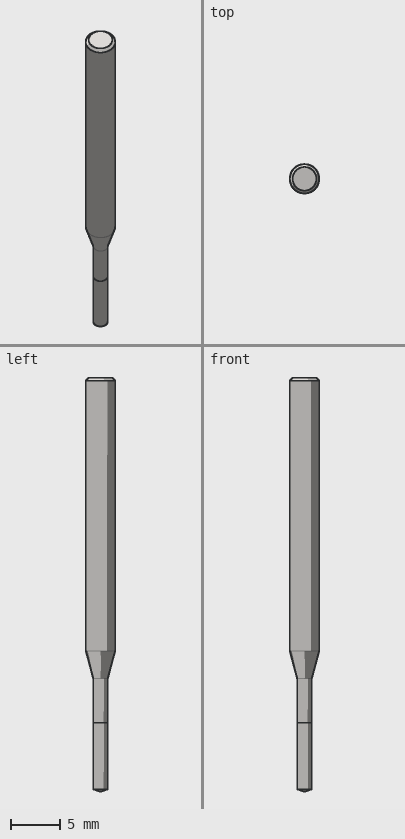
import cadquery as cq
import math

total_length = 42.0

cutter_diameter = 1.5
cutter_length = 7.0
point_angle = 140.0

neck_diameter = cutter_diameter
neck_length = 4.5
taper_half_angle = 15.0
shank_diameter = 3.0
end_chamfer = 0.3

cutter_radius = cutter_diameter / 2
neck_radius = neck_diameter / 2
shank_radius = shank_diameter / 2
point_height = cutter_radius / math.tan(math.radians(point_angle / 2))
taper_length = (shank_radius - neck_radius) / math.tan(math.radians(taper_half_angle))
taper_start = cutter_length + neck_length
grip_start = taper_start + taper_length
chamfer_start = total_length - end_chamfer


def turn(half_profile):
    """Revolve a closed (radius, height) outline around the Z axis."""
    outline = cq.Workplane("XZ").polyline(half_profile).close()
    return outline.revolve(360, (0, 0), (0, 1))


def make_cutter():
    """Cutter from the tip up to the flat joint with the neck."""
    return turn([
        (0, 0),
        (cutter_radius, point_height),
        (cutter_radius, cutter_length),
        (0, cutter_length),
    ])


def make_shank():
    """Neck, taper and grip as one body that sits on top of the cutter."""
    return turn([
        (0, cutter_length),
        (neck_radius, cutter_length),
        (neck_radius, taper_start),
        (shank_radius, grip_start),
        (shank_radius, chamfer_start),
        (shank_radius - end_chamfer, total_length),
        (0, total_length),
    ])


cutter = make_cutter()
shank = make_shank()

result = cq.Compound.makeCompound([cutter.val(), shank.val()])